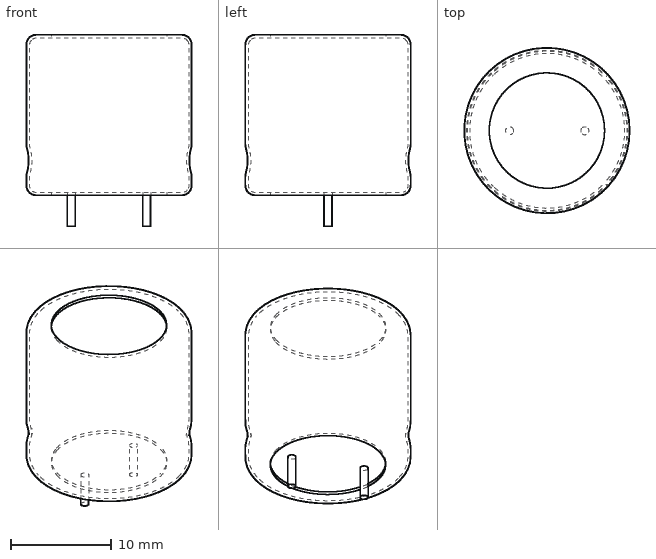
import cadquery as cq
import math

body_diameter = 16.5
body_height = 16.0
rim_radius = 1.0
sleeve_wall = 0.3
window_radius = 5.75

groove_middle = 3.48
groove_half_height = 1.59
hollow_half_height = 1.26
groove_depth = 0.23

pin_diameter = 0.8
pin_spacing = 7.5
pin_exposed_length = 3.1

body_radius = body_diameter / 2
groove_angle = 2 * math.atan(groove_depth / groove_half_height)
hollow_radius = hollow_half_height / math.sin(groove_angle)
shoulder_radius = (groove_half_height - hollow_half_height) / math.sin(groove_angle)


def grooved_drum(inset):
    """Solid drum with rounded rims and the crimp groove, lying `inset` inside the sleeve's skin."""
    wall = body_radius - inset
    bottom = inset
    top = body_height - inset
    rim = rim_radius - inset
    hollow = hollow_radius + inset
    shoulder = shoulder_radius - inset
    hollow_rise = hollow * math.sin(groove_angle)
    joint = wall - shoulder * (1 - math.cos(groove_angle))
    shoulder_middle = wall - shoulder * (1 - math.cos(groove_angle / 2))
    shoulder_middle_rise = groove_half_height - shoulder * math.sin(groove_angle / 2)
    rim_middle = rim * (1 - math.sqrt(0.5))

    return (
        cq.Workplane("XZ")
        .moveTo(0, bottom)
        .lineTo(wall - rim, bottom)
        .threePointArc((wall - rim_middle, bottom + rim_middle), (wall, bottom + rim))
        .lineTo(wall, groove_middle - groove_half_height)
        .threePointArc(
            (shoulder_middle, groove_middle - shoulder_middle_rise), (joint, groove_middle - hollow_rise)
        )
        .threePointArc((wall - groove_depth, groove_middle), (joint, groove_middle + hollow_rise))
        .threePointArc(
            (shoulder_middle, groove_middle + shoulder_middle_rise), (wall, groove_middle + groove_half_height)
        )
        .lineTo(wall, top - rim)
        .threePointArc((wall - rim_middle, top - rim_middle), (wall - rim, top))
        .lineTo(0, top)
        .close()
        .revolve(360, (0, 0, 0), (0, 1, 0))
    )


def make_can():
    """Can filling the inside of the sleeve."""
    return grooved_drum(sleeve_wall)


def make_sleeve():
    """Skin of even thickness around the can, open in the middle of both ends."""
    windows = cq.Workplane("XY").circle(window_radius).extrude(body_height)
    return grooved_drum(0).cut(make_can()).cut(windows).solids()


def make_pin(x):
    """Round pin hanging from the underside of the can."""
    return (
        cq.Workplane("XY", origin=(x, 0, -pin_exposed_length))
        .circle(pin_diameter / 2)
        .extrude(pin_exposed_length + sleeve_wall)
    )


can = make_can()
sleeve = make_sleeve()
pins = [make_pin(side * pin_spacing / 2) for side in (-1, 1)]

result = cq.Compound.makeCompound([can.val(), sleeve.val(), *[pin.val() for pin in pins]])